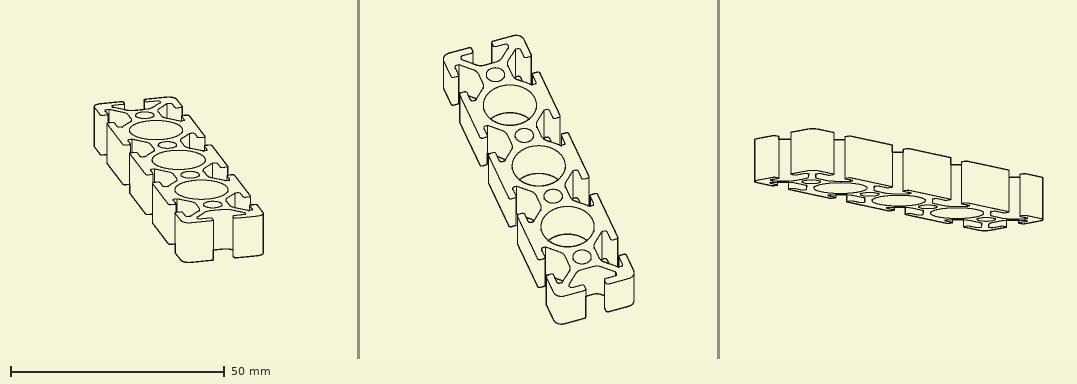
import cadquery as cq
import math

cell = 20.0
cell_count = 4
rail_length = cell * cell_count
rail_height = 10.0
corner_radius = 2.0

slot_opening = 5.0
slot_inner_width = 11.7
slot_depth = 6.3
lip_thickness = 1.8
side_wall_depth = 3.0
lip_radius = 0.5
inner_corner_radius = 0.6
floor_radius = 2.4
flank_angle = math.radians(45)

core_hole_diameter = 4.3
relief_hole_diameter = 12.5

cell_centers = [(i - (cell_count - 1) / 2) * cell for i in range(cell_count)]
web_centers = [x + cell / 2 for x in cell_centers[:-1]]


def slot_cutter():
    """T-slot running along Z, open toward +Y, centred on a cell at the origin."""
    face = cell / 2
    half_opening = slot_opening / 2
    half_inner = slot_inner_width / 2
    lip_y = face - lip_thickness
    floor_y = face - slot_depth

    half_floor = half_inner - (slot_depth - side_wall_depth) / math.tan(flank_angle)
    floor_tangent = floor_radius * math.tan(flank_angle / 2)
    flat = half_floor - floor_tangent
    rise = floor_radius * (1 - math.cos(flank_angle))
    flank_start = flat + floor_radius * math.sin(flank_angle)

    right_side = (
        cq.Workplane("XY")
        .moveTo(0, face)
        .lineTo(half_opening + lip_radius, face)
        .radiusArc((half_opening, face - lip_radius), -lip_radius)
        .lineTo(half_opening, lip_y + lip_radius)
        .radiusArc((half_opening + lip_radius, lip_y), -lip_radius)
        .lineTo(half_inner - inner_corner_radius, lip_y)
        .radiusArc((half_inner, lip_y - inner_corner_radius), inner_corner_radius)
        .lineTo(half_inner, face - side_wall_depth)
        .lineTo(flank_start, floor_y + rise)
        .radiusArc((flat, floor_y), floor_radius)
        .lineTo(0, floor_y)
        .close()
        .extrude(rail_height)
    )
    return right_side.union(right_side.mirror("YZ"))


def through_holes(centers, diameter):
    points = [(x, 0) for x in centers]
    return cq.Workplane("XY").pushPoints(points).circle(diameter / 2).extrude(rail_height)


bar = (
    cq.Workplane("XY")
    .rect(rail_length, cell)
    .extrude(rail_height)
    .edges("|Z")
    .fillet(corner_radius)
)

slot = slot_cutter()
for x in cell_centers:
    for angle in (0, 180):
        bar = bar.cut(slot.rotate((0, 0, 0), (0, 0, 1), angle).translate((x, 0, 0)))
for x, angle in ((cell_centers[0], 90), (cell_centers[-1], -90)):
    bar = bar.cut(slot.rotate((0, 0, 0), (0, 0, 1), angle).translate((x, 0, 0)))

bar = bar.cut(through_holes(cell_centers, core_hole_diameter))
bar = bar.cut(through_holes(web_centers, relief_hole_diameter))

result = bar